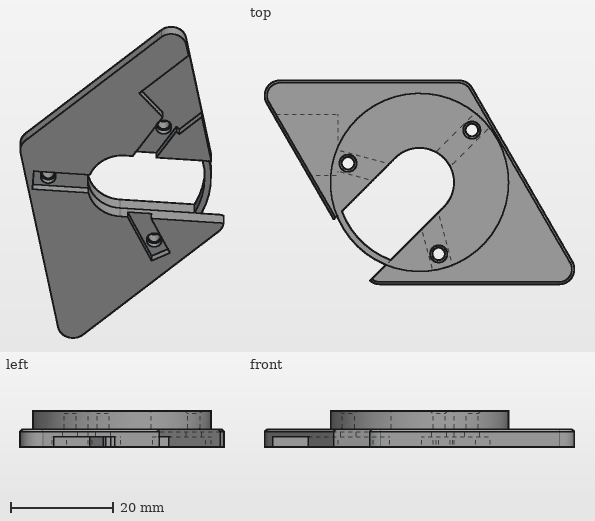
import cadquery as cq
import math

plate_length = 42.0
plate_width = 40.0
plate_thickness = 3.5
side_angle = 60.0
corner_radius = 3.0
edge_chamfer = 0.5

disk_diameter = 34.9
disk_height = 3.6
rim_thickness = 1.25

opening_width = 13.5
opening_angle = 225.0

screw_angles = (45.0, 165.0, 285.0)
screw_circle_radius = 14.5
disk_hole_diameter = 2.4
plate_hole_diameter = 3.0
hole_chamfer = 0.5
countersink_angle = 90.0
channel_width = 4.0
recess_depth = 2.0

pocket_width = 12.0
pocket_right_x = -16.0
pocket_bottom_y = 1.4
pocket_length = 16.0

side_lean = plate_width / math.tan(math.radians(side_angle))
disk_radius = disk_diameter / 2


def radial_bar(angle, length, width, height):
    """Bar on the XY plane, running outwards from the Z axis at the given angle."""
    bar = cq.Workplane("XY").box(length, width, height, centered=(False, True, False))
    return bar.rotate((0, 0, 0), (0, 0, 1), angle)


def cylinder(diameter, height):
    """Cylinder on the Z axis, standing on the XY plane."""
    return cq.Workplane("XY").circle(diameter / 2).extrude(height)


def opening(length, height):
    """Cutter for the opening: the centre bore plus a slot of the same width."""
    slot = radial_bar(opening_angle, length, opening_width, height)
    return cylinder(opening_width, height).union(slot)


def screw_points():
    """Centres of the screw holes in the XY plane."""
    return [
        (
            screw_circle_radius * math.cos(math.radians(angle)),
            screw_circle_radius * math.sin(math.radians(angle)),
        )
        for angle in screw_angles
    ]


def make_plate():
    left_x = -(plate_length + side_lean) / 2
    front_left_x = left_x + side_lean
    half_width = plate_width / 2
    outline = [
        (left_x, half_width),
        (front_left_x, -half_width),
        (-left_x, -half_width),
        (-front_left_x, half_width),
    ]
    plate = cq.Workplane("XY").polyline(outline).close().extrude(plate_thickness)
    plate = plate.edges("|Z").fillet(corner_radius)
    plate = plate.faces(">Z").edges().chamfer(edge_chamfer)

    plate = plate.cut(opening(plate_length, plate_thickness))

    for angle in screw_angles:
        plate = plate.cut(radial_bar(angle, disk_radius, channel_width, recess_depth))

    pocket = (
        cq.Workplane("XY")
        .box(pocket_length, pocket_width, recess_depth, centered=False)
        .translate((pocket_right_x - pocket_length, pocket_bottom_y, 0))
    )
    plate = plate.cut(pocket)

    holes = (
        cq.Workplane("XY")
        .pushPoints(screw_points())
        .circle(plate_hole_diameter / 2)
        .extrude(plate_thickness)
    )
    return plate.cut(holes)


def make_disk():
    disk = cylinder(disk_diameter, disk_height)

    rim_limit = cylinder(disk_diameter - 2 * rim_thickness, disk_height)
    disk = disk.cut(opening(disk_radius, disk_height).intersect(rim_limit))

    disk = (
        disk.faces(">Z")
        .workplane(origin=(0, 0, disk_height))
        .pushPoints(screw_points())
        .cskHole(disk_hole_diameter, disk_hole_diameter + 2 * hole_chamfer, countersink_angle)
    )
    return disk.translate((0, 0, plate_thickness))


plate = make_plate()
disk = make_disk()

result = cq.Compound.makeCompound([plate.val(), disk.val()])